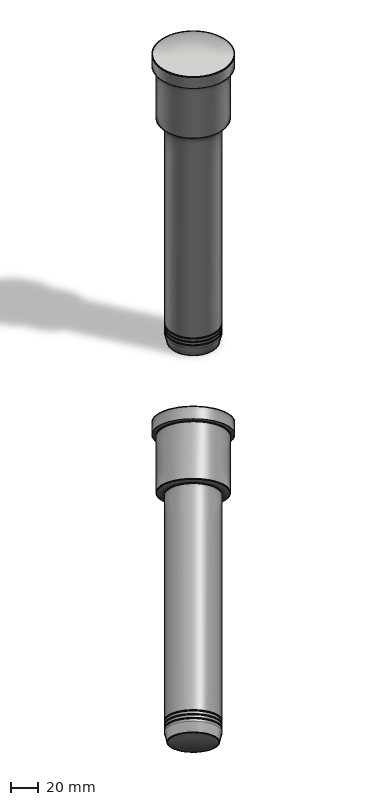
import cadquery as cq

total_length = 251.0
head_diameter = 60.0
head_height = 10.0
head_rim_chamfer = 0.5
collar_diameter = 54.0
collar_height = 46.0
collar_edge_chamfer = 0.5
shank_diameter = 42.0

tip_height = 8.0
tip_end_diameter = 38.0
tip_end_chamfer = 0.38

undercut_width = 1.0
undercut_depth = 0.8
undercut_flank_rise = 0.3

groove_count = 3
groove_width = 1.0
groove_depth = 0.38
groove_pitch = 3.0
lowest_groove_height = 10.5

head_bottom = total_length - head_height
collar_bottom = head_bottom - collar_height


def make_cylinder(diameter, bottom, top):
    """Solid cylinder on the Z axis between two heights."""
    return cq.Workplane("XY").workplane(offset=bottom).circle(diameter / 2).extrude(top - bottom)


def make_ring(section):
    """Ring swept around Z from a closed section of (radius, height) points."""
    return cq.Workplane("XZ").polyline(section).close().revolve(360, (0, 0, 0), (0, 1, 0))


def make_head():
    return make_cylinder(head_diameter, head_bottom, total_length).faces(">Z").chamfer(head_rim_chamfer)


def make_collar():
    return make_cylinder(collar_diameter, collar_bottom, head_bottom).faces("<Z").chamfer(collar_edge_chamfer)


def make_shank():
    return make_cylinder(shank_diameter, tip_height, collar_bottom)


def make_tip():
    """Cone that widens from the end face to the full shank, with a chamfered end face."""
    cone = (
        cq.Workplane("XY")
        .circle(tip_end_diameter / 2)
        .workplane(offset=tip_height)
        .circle(shank_diameter / 2)
        .loft(ruled=True)
    )
    return cone.faces("<Z").chamfer(tip_end_chamfer)


def make_undercut(diameter, shoulder_height):
    """Ring to remove from a cylinder where it meets the shoulder above it."""
    outer_radius = diameter / 2
    floor_radius = outer_radius - undercut_depth
    bottom = shoulder_height - undercut_width
    return make_ring([
        (outer_radius, shoulder_height),
        (floor_radius, shoulder_height),
        (floor_radius, bottom + undercut_flank_rise),
        (outer_radius, bottom),
    ])


def make_groove(height):
    """Ring of triangular section, pointing inward from the shank surface, to remove."""
    surface_radius = shank_diameter / 2
    return make_ring([
        (surface_radius, height - groove_width / 2),
        (surface_radius - groove_depth, height),
        (surface_radius, height + groove_width / 2),
    ])


result = make_head().union(make_collar()).union(make_shank()).union(make_tip())
result = result.cut(make_undercut(collar_diameter, head_bottom))
result = result.cut(make_undercut(shank_diameter, collar_bottom))
for index in range(groove_count):
    result = result.cut(make_groove(lowest_groove_height + index * groove_pitch))